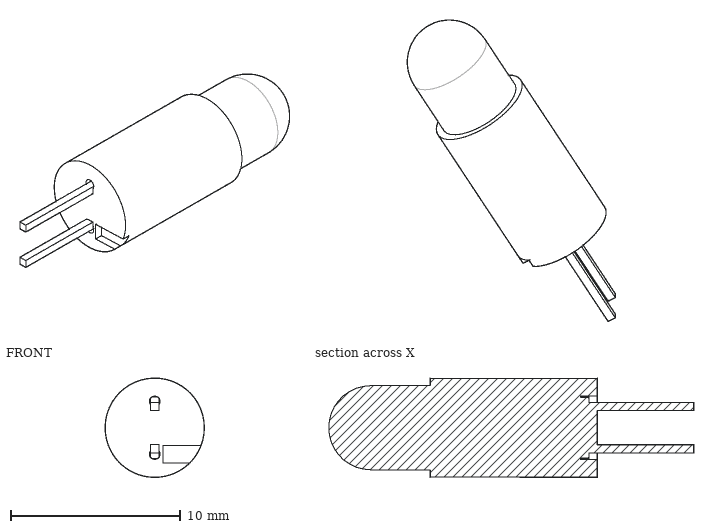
import cadquery as cq

total_length = 21.62
pin_length = 5.7
body_length = 9.9
body_diameter = 5.88
lens_diameter = 5.02

pin_width = 0.5
pin_offset = 1.25
pin_embed = 1.08
hole_diameter = 0.63
hole_offset = 1.55
hole_depth = 1.0
jog_depth = 0.5

notch_inner_x = 0.48
notch_top_z = -1.05
notch_height = 1.04
notch_depth = 0.5

body_radius = body_diameter / 2
lens_radius = lens_diameter / 2
lens_tip_y = total_length - pin_length
dome_base_y = lens_tip_y - lens_radius
dome_mid = lens_radius * 0.5 ** 0.5


def make_body():
    """Revolve the stepped barrel and its hemispherical lens about Y."""
    return (
        cq.Workplane("XY")
        .lineTo(body_radius, 0)
        .lineTo(body_radius, body_length)
        .lineTo(lens_radius, body_length)
        .lineTo(lens_radius, dome_base_y)
        .threePointArc((dome_mid, dome_base_y + dome_mid), (0, lens_tip_y))
        .close()
        .revolve(360, (0, 0, 0), (0, 1, 0))
    )


def make_notch():
    """Box that opens the rear face through to the +X side."""
    return cq.Workplane("XY").box(
        body_radius, notch_depth, notch_height, centered=False
    ).translate((notch_inner_x, 0, notch_top_z - notch_height))


def make_hole(side):
    """Blind round hole going into the rear face."""
    return (
        cq.Workplane("XZ")
        .center(0, side * hole_offset)
        .circle(hole_diameter / 2)
        .extrude(-hole_depth)
    )


def make_square_bar(side, offset, start_y, end_y):
    """Stretch of square pin along Y at the given distance from the centre plane."""
    return (
        cq.Workplane("XZ", origin=(0, end_y, 0))
        .center(0, side * offset)
        .rect(pin_width, pin_width)
        .extrude(end_y - start_y)
    )


def make_pin(side):
    """Square pin reaching out towards -Y, stepped outwards inside its hole."""
    outer_leg = make_square_bar(side, pin_offset, -pin_length, pin_embed)
    inner_leg = make_square_bar(side, hole_offset, jog_depth, pin_embed)
    return outer_leg.union(inner_leg)


result = make_body().cut(make_notch())
for side in (1, -1):
    result = result.cut(make_hole(side)).union(make_pin(side))